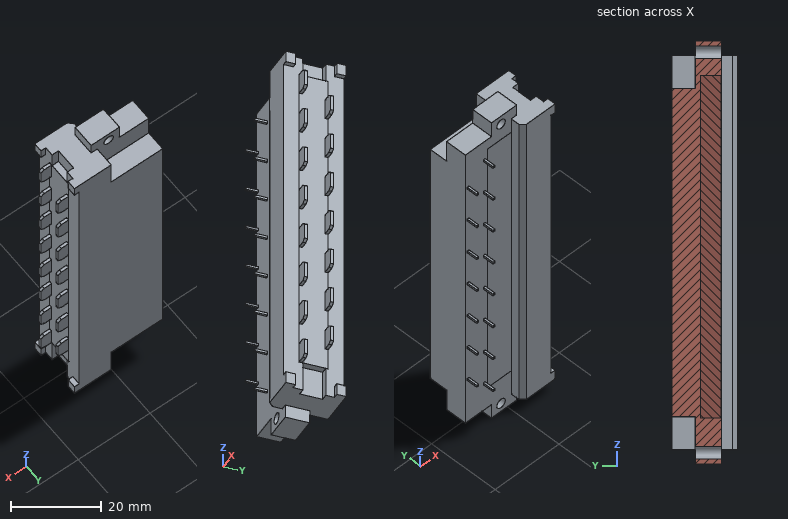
import cadquery as cq


OVERALL_LENGTH = 94.0
PLATE_LENGTH = 85.3
PLATE_DEPTH = 5.9
HOUSING_BACK_Y = 11.1
EAR_X = 8.2
EAR_END_X = 16.1
REAR_BLOCK_LENGTH = 72.9
SHROUD_LENGTH = 87.6
SHROUD_X = 14.4
SHROUD_FRONT_Y = -3.6
SHROUD_CHAMFER = 1.2
MATING_FACE_X = 23.3

EAR_HOLE_DIAMETER = 2.6
EAR_HOLE_X = 11.2
EAR_HOLE_SPACING = 88.9

LIP_HEIGHT = 1.3
LIP_LENGTH = 2.8
LIP_WIDTH = 2.35
NOTCH_DEPTH = 1.8
NOTCH_Y = 1.1
NOTCH_WIDTH = 5.5

CONTACT_COUNT = 15
CONTACT_PITCH = 5.1
CONTACT_SPAN = CONTACT_PITCH * (CONTACT_COUNT - 1)
CONTACT_MIDDLE_Z = 1.3

PIN_SIZE = 0.6
PIN_LENGTH = 3.0
FRONT_PIN_X = 5.9
PIN_ROW_X = (FRONT_PIN_X, FRONT_PIN_X - CONTACT_PITCH)

BLADE_WIDTH = 4.9
BLADE_THICKNESS = 0.75
BLADE_LENGTH = 3.0
BLADE_CHAMFER_X = 0.9
BLADE_CHAMFER_Z = 0.6
BLADE_ROW_SPACING = 6.3

INSERT_LENGTH = CONTACT_SPAN + BLADE_WIDTH
BOARD_FACE_WALL = 0.2
TONGUE_X = 7.1
TONGUE_BACK_Y = 4.7
CORE_X = 16.1
CORE_BACK_Y = BOARD_FACE_WALL + BLADE_ROW_SPACING + BLADE_THICKNESS


def span(length, middle=0.0):
    """Limits of a length centred on a middle."""
    return middle - length / 2, middle + length / 2


INSERT_Z = span(INSERT_LENGTH, CONTACT_MIDDLE_Z)
SHROUD_Z = span(SHROUD_LENGTH)


def box(x_limits, y_limits, z_limits):
    """Box between a lower and an upper limit along each axis."""
    limits = (x_limits, y_limits, z_limits)
    size = [upper - lower for lower, upper in limits]
    corner = tuple(lower for lower, upper in limits)
    return cq.Workplane("XY").box(*size, centered=False).translate(corner)


def contact_places():
    """Height and row index of every contact, from the top down."""
    top_z = CONTACT_MIDDLE_Z + CONTACT_SPAN / 2
    return [(top_z - i * CONTACT_PITCH, i % 2) for i in range(CONTACT_COUNT)]


def make_shroud():
    lip_x = (MATING_FACE_X, MATING_FACE_X + LIP_HEIGHT)
    shroud_y = (SHROUD_FRONT_Y, HOUSING_BACK_Y)
    shroud = box((SHROUD_X, lip_x[1]), shroud_y, SHROUD_Z)
    shroud = shroud.edges("|Z and <X and <Y").chamfer(SHROUD_CHAMFER)

    between_lips_y = (SHROUD_FRONT_Y + LIP_WIDTH, HOUSING_BACK_Y - LIP_WIDTH)
    shroud = shroud.cut(box(lip_x, shroud_y, span(SHROUD_LENGTH - 2 * LIP_LENGTH)))
    shroud = shroud.cut(box(lip_x, between_lips_y, SHROUD_Z))

    notch_x = (MATING_FACE_X - NOTCH_DEPTH, MATING_FACE_X)
    notch_y = (NOTCH_Y, NOTCH_Y + NOTCH_WIDTH)
    for notch_z in ((SHROUD_Z[0], INSERT_Z[0]), (INSERT_Z[1], SHROUD_Z[1])):
        shroud = shroud.cut(box(notch_x, notch_y, notch_z))
    return shroud


def make_ear_holes():
    half_spacing = EAR_HOLE_SPACING / 2
    return (
        cq.Workplane("XZ")
        .pushPoints([(EAR_HOLE_X, half_spacing), (EAR_HOLE_X, -half_spacing)])
        .circle(EAR_HOLE_DIAMETER / 2)
        .extrude(-PLATE_DEPTH)
    )


def make_pin(z, row):
    return box(span(PIN_SIZE, PIN_ROW_X[row]), (-PIN_LENGTH, 0), span(PIN_SIZE, z))


def make_insert_core():
    """Insert without its blades, which is also the shape of the housing cavity."""
    core = box((CORE_X, MATING_FACE_X), (BOARD_FACE_WALL, CORE_BACK_Y), INSERT_Z)
    tongue = box((TONGUE_X, CORE_X), (BOARD_FACE_WALL, TONGUE_BACK_Y), INSERT_Z)
    return core.union(tongue)


def make_blade(z, row):
    half_width = BLADE_WIDTH / 2
    half_tip = half_width - BLADE_CHAMFER_Z
    tip_x = MATING_FACE_X + BLADE_LENGTH
    chamfer_x = tip_x - BLADE_CHAMFER_X
    outline = [
        (MATING_FACE_X, -half_width),
        (chamfer_x, -half_width),
        (tip_x, -half_tip),
        (tip_x, half_tip),
        (chamfer_x, half_width),
        (MATING_FACE_X, half_width),
    ]
    front_y = BOARD_FACE_WALL + row * BLADE_ROW_SPACING
    return (
        cq.Workplane("XZ", origin=(0, front_y, z))
        .polyline(outline)
        .close()
        .extrude(-BLADE_THICKNESS)
    )


def make_housing():
    plate_y = (0, PLATE_DEPTH)
    housing = box((0, SHROUD_X), plate_y, span(PLATE_LENGTH))
    housing = housing.union(box((EAR_X, EAR_END_X), plate_y, span(OVERALL_LENGTH)))
    housing = housing.union(box((0, SHROUD_X), (0, HOUSING_BACK_Y), span(REAR_BLOCK_LENGTH)))
    housing = housing.union(make_shroud())
    housing = housing.cut(make_ear_holes())
    for z, row in contact_places():
        housing = housing.union(make_pin(z, row))
    return housing.cut(make_insert_core())


def make_blade_insert():
    insert = make_insert_core()
    for z, row in contact_places():
        insert = insert.union(make_blade(z, row))
    return insert


housing = make_housing()
blade_insert = make_blade_insert()
result = cq.Compound.makeCompound([housing.solids().val(), blade_insert.solids().val()])